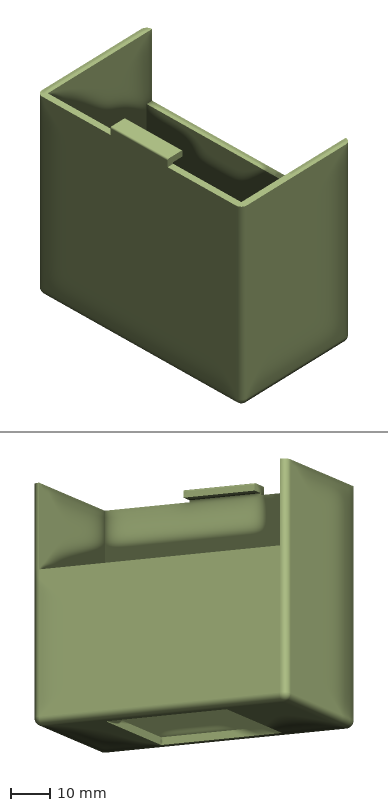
import cadquery as cq

length = 71.8
width = 40.3
total_height = 65.1
wall = 2.0
corner_radius = wall

tab_length = 20.0
tab_reach = 5.5
tab_thickness = 2.0
tab_gap = 0.5
tab_fillet = 0.5

window_length = 34.0
window_margin = 2 * wall
rear_wall_drop = 22.5

wall_height = total_height - tab_thickness - tab_gap
inner_length = length - 2 * wall
inner_width = width - 2 * wall
window_width = width - 2 * window_margin
front_y = -width / 2
rear_y = width / 2


def make_shell():
    """Box with rounded outer edges, hollowed from the top."""
    outer = (
        cq.Workplane("XY")
        .box(length, width, wall_height, centered=(True, True, False))
        .edges("|Z or <Z")
        .fillet(corner_radius)
    )
    cavity = (
        cq.Workplane("XY")
        .workplane(offset=wall)
        .box(inner_length, inner_width, wall_height, centered=(True, True, False))
    )
    return outer.cut(cavity)


def make_floor_window():
    """Rectangular opening through the floor."""
    return cq.Workplane("XY").box(window_length, window_width, 2 * wall)


def make_rear_cutout():
    """Removes the upper part of the rear wall between the end walls."""
    return (
        cq.Workplane("XY")
        .workplane(offset=wall_height - rear_wall_drop)
        .center(0, rear_y)
        .box(inner_length, 2 * wall, rear_wall_drop, centered=(True, True, False))
    )


def make_tab():
    """Hooked tab: a stem on the front wall with a lip reaching over the cavity."""
    lip_bottom = wall_height + tab_gap
    stem_back_y = front_y + wall
    tip_y = front_y + tab_reach
    return (
        cq.Workplane("YZ")
        .moveTo(front_y, wall_height)
        .lineTo(stem_back_y, wall_height)
        .lineTo(stem_back_y, lip_bottom)
        .lineTo(tip_y, lip_bottom)
        .lineTo(tip_y, total_height)
        .lineTo(front_y, total_height)
        .close()
        .extrude(tab_length / 2, both=True)
        .edges("|X and >Z")
        .fillet(tab_fillet)
    )


result = (
    make_shell()
    .cut(make_floor_window())
    .cut(make_rear_cutout())
    .union(make_tab())
)